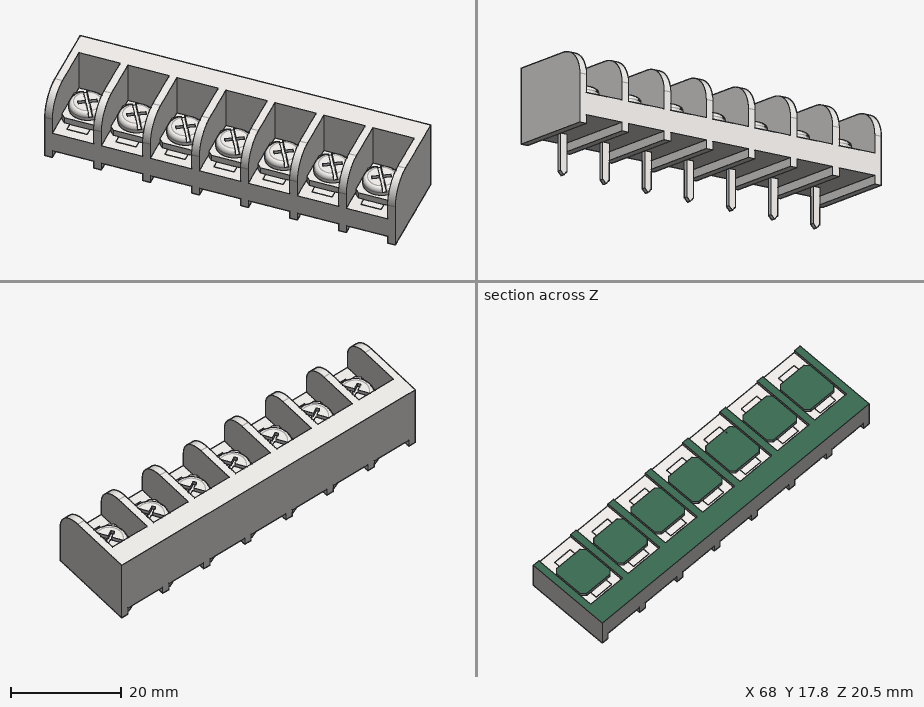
import cadquery as cq

poles = 7
length = 68.0
depth = 17.8
overall_height = 20.5
housing_height = 14.35
wall = 1.5
pitch = (length - wall) / poles
bay_width = pitch - wall
bay_centres = [wall / 2 + pitch * (pole + 0.5) for pole in range(poles)]
bay_depth = 13.3
floor_top = 5.85
floor_bottom = 1.6
wall_radius = 5.1

pin_width = 1.5
pin_thickness = 0.8
pin_setback = 5.2
pin_length_below_housing = overall_height - housing_height
tip_length = 0.75

recess_width = 3.95
recess_length = 10.7
recess_depth = 0.1

notch_width = 1.5
notch_length = 0.3
notch_depth = 0.35

terminal_y = 7.35
plate_width = 7.6
plate_length = 7.75
plate_thickness = 1.2
plate_chamfer = 0.8
head_diameter = 6.9
head_height = 1.55
neck_diameter = 4.1
neck_height = 0.15
head_radius = 0.9
slot_width = 0.7
slot_depth = 0.8
cross_length = 3.55
slot_angle = -60.0


def block(width, length_y, height, x, y, z):
    """Box centred on x and y, standing on z."""
    return cq.Workplane("XY").box(width, length_y, height, centered=(True, True, False)).translate((x, y, z))


def make_housing():
    body = cq.Workplane("XY").box(length, depth, housing_height, centered=False)
    body = body.edges("|X and <Y and >Z").fillet(wall_radius)
    for x in bay_centres:
        bay = block(bay_width, bay_depth, housing_height, x, bay_depth / 2, floor_top)
        underside = block(bay_width, depth, floor_bottom, x, depth / 2, 0)
        recess = block(recess_width, recess_length, recess_depth, x, terminal_y, floor_top - recess_depth)
        notch_y = bay_depth - notch_length / 2
        notch = block(notch_width, notch_length, notch_depth, x, notch_y, floor_top - notch_depth)
        body = body.cut(bay).cut(underside).cut(recess).cut(notch)
    return body


def make_pin(x):
    half = pin_width / 2
    tip = -pin_length_below_housing
    shoulder = tip + tip_length
    y = depth - pin_setback + pin_thickness / 2
    outline = [
        (x - half, floor_bottom),
        (x - half, shoulder),
        (x, tip),
        (x + half, shoulder),
        (x + half, floor_bottom),
    ]
    return cq.Workplane("XZ", origin=(0, y, 0)).polyline(outline).close().extrude(pin_thickness)


def make_screw_head(x):
    z = floor_top + plate_thickness + neck_height
    head = cq.Workplane("XY").circle(head_diameter / 2).extrude(head_height)
    head = head.faces(">Z").edges().fillet(head_radius)
    slot_floor = head_height - slot_depth
    slot = block(head_diameter + slot_width, slot_width, slot_depth, 0, 0, slot_floor)
    cross = block(slot_width, cross_length, slot_depth, 0, 0, slot_floor)
    drive = slot.union(cross).rotate((0, 0, 0), (0, 0, 1), slot_angle)
    return head.cut(drive).translate((x, terminal_y, z))


def make_terminal(x):
    bottom = floor_top - recess_depth
    plate = block(plate_width, plate_length, plate_thickness + recess_depth, x, terminal_y, bottom)
    plate = plate.edges("|Z").chamfer(plate_chamfer)
    neck_bottom = floor_top + plate_thickness
    neck = cq.Workplane("XY").circle(neck_diameter / 2).extrude(neck_height)
    neck = neck.translate((x, terminal_y, neck_bottom))
    return plate.union(neck).union(make_screw_head(x))


result = make_housing()
for x in bay_centres:
    result = result.union(make_pin(x)).union(make_terminal(x))